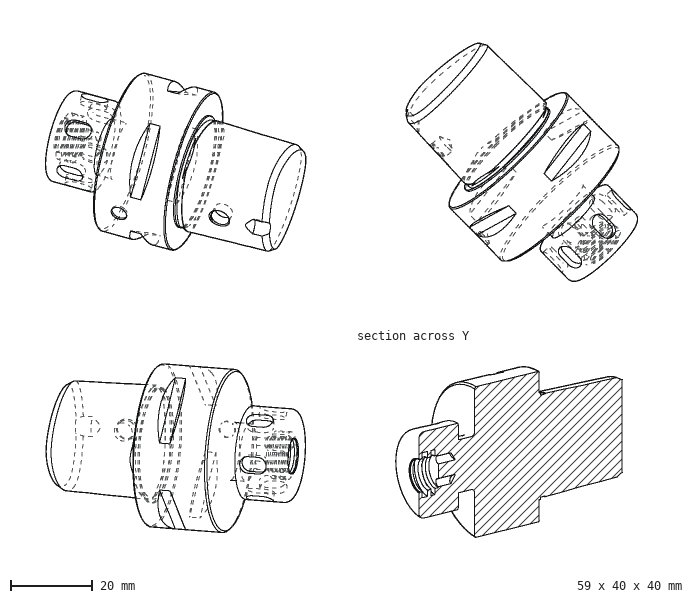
import cadquery as cq
import math

nut_end = 11.5
flange_start = 16.05
flange_end = 34.9
seat_end = 35.35
undercut_end = 36.65
taper_end = 57.4
total_length = 59.0

nut_radius = 11.5
nut_nose_round = 1.5
nut_back_round = 0.5
neck_radius = 7.1
neck_fillet = 0.8

slot_count = 6
slot_length = 6.7
slot_width = 4.2
slot_centre = 6.8
slot_floor = 9.45

bore_radius = 4.25
bore_mouth_radius = 4.395
bore_mouth_depth = 0.3
bore_depth = 5.6
groove_radius = 5.9
grooves = [(1.0, 2.5), (3.6, 4.6)]

coolant_radius = 1.0
coolant_offset = 3.0
coolant_depth = 3.55

flange_radius = 20.0
flange_front_chamfer = 0.5
flange_back_chamfer = 0.3
notch_centre = 26.95
notch_floor = 17.7
notch_floor_width = 2.65
notch_top_width = 5.3
notch_angles = [45, 135, 225, 315]
index_centre = 22.9
index_radius = 2.0
index_depth = 0.6

seat_radius = 14.15
shank_radius = 14.01
shank_lobe = 0.95
taper_per_side = 1 / 40
end_chamfer = 0.95
undercut_offset = 0.2
undercut_radius = 13.9
undercut_relief = 0.6
profile_points = 72

dimple_centre = 46.45
dimple_radius = 2.3
dimple_mouth_radius = 2.7
dimple_mouth_depth = 0.4
dimple_depth = 2.95
key_radius = 2.8
key_axis_y = -13.6
key_start = 55.0

drill_half_angle = math.radians(59)
overcut = 0.6


def lobed_wire(x, radius):
    """Constant-width three-lobed outline at station x, with one lobe toward +Y."""
    points = []
    for i in range(profile_points):
        angle = 2 * math.pi * i / profile_points
        reach = radius + shank_lobe * math.cos(3 * angle)
        slope = -3 * shank_lobe * math.sin(3 * angle)
        y = reach * math.cos(angle) - slope * math.sin(angle)
        z = reach * math.sin(angle) + slope * math.cos(angle)
        points.append(cq.Vector(x, y, z))
    return cq.Wire.assembleEdges([cq.Edge.makeSpline(points, periodic=True)])


def lobed_section(x_start, radius_start, x_end, radius_end):
    wires = [lobed_wire(x_start, radius_start), lobed_wire(x_end, radius_end)]
    return cq.Workplane(obj=cq.Solid.makeLoft(wires, True))


def disc(x_start, x_end, radius):
    return cq.Workplane("YZ", origin=(x_start, 0, 0)).circle(radius).extrude(x_end - x_start)


def revolve_about_x(points):
    """Solid of revolution from (x, radius) points."""
    return cq.Workplane("XY").polyline(points).close().revolve(360, (0, 0, 0), (1, 0, 0))


def drilled_hole(x, surface, radius, depth):
    """Pointed hole drilled toward +Y at station x, entering at y = -surface."""
    tip = depth + radius / math.tan(drill_half_angle)
    profile = [(0, -overcut), (radius, -overcut), (radius, depth), (0, tip)]
    hole = cq.Workplane("XY").polyline(profile).close().revolve(360, (0, 0, 0), (0, 1, 0))
    return hole.translate((x, -surface, 0))


def make_nut():
    nut = disc(0, nut_end, nut_radius)
    nut = nut.faces("<X").edges().fillet(nut_nose_round)
    nut = nut.faces(">X").edges().fillet(nut_back_round)
    slot = (
        cq.Workplane("XY", origin=(slot_centre, 0, slot_floor))
        .slot2D(slot_length, slot_width)
        .extrude(nut_radius)
    )
    for i in range(slot_count):
        nut = nut.cut(slot.rotate((0, 0, 0), (1, 0, 0), 90 + i * 360 / slot_count))
    return nut


def make_neck():
    return (
        cq.Workplane("XY")
        .lineTo(0, neck_radius)
        .lineTo(flange_start - neck_fillet, neck_radius)
        .radiusArc((flange_start, neck_radius + neck_fillet), -neck_fillet)
        .lineTo(flange_start, 0)
        .close()
        .revolve(360, (0, 0, 0), (1, 0, 0))
    )


def make_flange():
    flange = disc(flange_start, flange_end, flange_radius)
    flange = flange.faces("<X").edges().chamfer(flange_front_chamfer)
    flange = flange.faces(">X").edges().chamfer(flange_back_chamfer)

    flank_slope = (notch_top_width - notch_floor_width) / 2 / (flange_radius - notch_floor)
    notch_rim = flange_radius + overcut
    half_floor = notch_floor_width / 2
    half_rim = half_floor + flank_slope * (notch_rim - notch_floor)
    notch = (
        cq.Workplane("XZ", origin=(notch_centre, 0, 0))
        .polyline(
            [
                (-half_floor, notch_floor),
                (half_floor, notch_floor),
                (half_rim, notch_rim),
                (-half_rim, notch_rim),
            ]
        )
        .close()
        .extrude(flange_radius, both=True)
    )
    for angle in notch_angles:
        flange = flange.cut(notch.rotate((0, 0, 0), (1, 0, 0), angle))

    return flange.cut(drilled_hole(index_centre, flange_radius, index_radius, index_depth))


def make_shank():
    end_radius = shank_radius - taper_per_side * (taper_end - undercut_end)
    taper = lobed_section(undercut_end, shank_radius, taper_end, end_radius)
    tip = lobed_section(taper_end, end_radius, total_length, end_radius - end_chamfer)

    inner_radius = shank_radius - undercut_offset
    undercut = lobed_section(flange_end, inner_radius, undercut_end, inner_radius)
    cone_start = undercut_end - undercut_relief
    cone_rise = shank_radius + shank_lobe - undercut_radius
    turned = revolve_about_x(
        [
            (flange_end, 0),
            (flange_end, undercut_radius),
            (cone_start, undercut_radius),
            (cone_start + cone_rise, undercut_radius + cone_rise),
            (total_length, undercut_radius + cone_rise),
            (total_length, 0),
        ]
    )
    seat = disc(flange_end, seat_end, seat_radius)
    shank = undercut.union(taper).union(tip).intersect(turned).union(seat)

    flat = shank_radius - shank_lobe - taper_per_side * (dimple_centre - undercut_end)
    shank = shank.cut(drilled_hole(dimple_centre, flat, dimple_radius, dimple_depth))
    mouth = cq.Solid.makeCone(
        dimple_mouth_radius,
        dimple_radius,
        dimple_mouth_depth,
        pnt=cq.Vector(dimple_centre, -flat, 0),
        dir=cq.Vector(0, 1, 0),
    )
    shank = shank.cut(cq.Workplane(obj=mouth))

    key_tip = key_start - key_radius
    key = revolve_about_x(
        [
            (key_tip, 0),
            (key_start, key_radius),
            (total_length + overcut, key_radius),
            (total_length + overcut, 0),
        ]
    )
    return shank.cut(key.translate((0, key_axis_y, 0)))


def make_bore():
    bore = disc(0, bore_depth, bore_radius).union(disc(0, bore_mouth_depth, bore_mouth_radius))
    for start, end in grooves:
        bore = bore.union(disc(start, end, groove_radius))
    return bore


def make_coolant_holes():
    """Two holes whose ends lie on a shallow cone about the X axis."""
    holes = (
        cq.Workplane("YZ", origin=(bore_depth, 0, 0))
        .pushPoints([(0, coolant_offset), (0, -coolant_offset)])
        .circle(coolant_radius)
        .extrude(total_length - bore_depth)
    )
    cone_end = bore_depth + coolant_depth
    cone = revolve_about_x(
        [
            (bore_depth, 0),
            (bore_depth, bore_radius),
            (cone_end, bore_radius),
            (cone_end + bore_radius / math.tan(drill_half_angle), 0),
        ]
    )
    return holes.intersect(cone)


body = make_nut().union(make_neck()).union(make_flange()).union(make_shank())
result = body.cut(make_bore()).cut(make_coolant_holes())